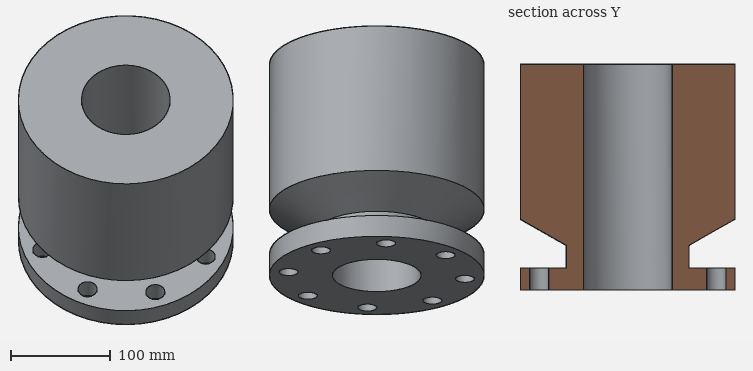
import cadquery as cq

total_height = 227.0
body_diameter = 216.0
bore_diameter = 89.0

flange_diameter = body_diameter
flange_thickness = 22.5
bolt_circle_diameter = 178.0
bolt_hole_diameter = 19.0
bolt_count = 8

neck_diameter = 124.0
cone_base_height = 45.0
cone_top_height = 71.0


def make_revolved_body():
    """Flange, neck, cone and cylindrical body as one turned profile about Z."""
    flange_radius = flange_diameter / 2
    neck_radius = neck_diameter / 2
    body_radius = body_diameter / 2
    return (
        cq.Workplane("XZ")
        .polyline([
            (0, 0),
            (flange_radius, 0),
            (flange_radius, flange_thickness),
            (neck_radius, flange_thickness),
            (neck_radius, cone_base_height),
            (body_radius, cone_top_height),
            (body_radius, total_height),
            (0, total_height),
        ])
        .close()
        .revolve(360, (0, 0, 0), (0, 1, 0))
    )


def make_bore():
    """Straight bore through the full height."""
    return cq.Workplane("XY").circle(bore_diameter / 2).extrude(total_height)


def make_bolt_holes():
    """Evenly spaced holes through the flange."""
    return (
        cq.Workplane("XY")
        .polarArray(bolt_circle_diameter / 2, 0, 360, bolt_count)
        .circle(bolt_hole_diameter / 2)
        .extrude(flange_thickness)
    )


result = make_revolved_body().cut(make_bore()).cut(make_bolt_holes())